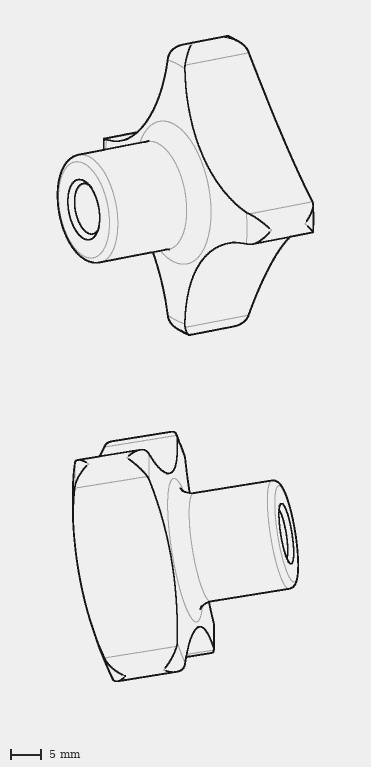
import cadquery as cq
import math

span = 50.0
height = 33.8
tip_reach = span / 2

crown_flat_diameter = 10.5
dome_radius = 67.5
underside_depth = 16.7
underside_rise = 0.8
rim_fillet = 3.0

tip_radius = 2.65
scallop_center = 25.0

hub_diameter = 18.0
hub_root_fillet = 2.9
hub_end_fillet = 1.0
bore_diameter = 8.4
bore_chamfer = 0.8

tip_center = tip_reach - tip_radius
scallop_radius = math.hypot(scallop_center, scallop_center - tip_center) - tip_radius


def dome_sag(radius):
    """Drop of the domed crown below its central flat at a given radius."""
    flat_radius = crown_flat_diameter / 2
    sphere_height = math.sqrt(dome_radius**2 - flat_radius**2)
    return sphere_height - math.sqrt(dome_radius**2 - radius**2)


def make_head():
    """Revolved disc with a domed crown, conical underside and rounded rim."""
    flat_radius = crown_flat_diameter / 2
    middle_radius = (flat_radius + tip_reach) / 2
    root_radius = hub_diameter / 2 + hub_root_fillet
    disc = (
        cq.Workplane("XY")
        .lineTo(flat_radius, 0)
        .threePointArc((middle_radius, -dome_sag(middle_radius)), (tip_reach, -dome_sag(tip_reach)))
        .lineTo(tip_reach, underside_rise - underside_depth)
        .lineTo(root_radius, -underside_depth)
        .lineTo(0, -underside_depth)
        .close()
        .revolve(360, (0, 0, 0), (0, 1, 0))
    )
    return disc.faces("%CYLINDER").edges("%CIRCLE").fillet(rim_fillet)


def make_star():
    """Four-armed prism with rounded tips joined by tangent scallops."""
    reach = scallop_radius + tip_radius
    tangent_x = tip_radius * scallop_center / reach
    tangent_z = tip_center + tip_radius * (scallop_center - tip_center) / reach
    waist = scallop_center - scallop_radius / math.sqrt(2)

    outline = cq.Workplane("XZ").moveTo(-tangent_x, tangent_z)
    for quarter in range(4):
        angle = -quarter * math.pi / 2

        def turn(x, z):
            return (
                x * math.cos(angle) - z * math.sin(angle),
                x * math.sin(angle) + z * math.cos(angle),
            )

        outline = outline.threePointArc(turn(0, tip_reach), turn(tangent_x, tangent_z))
        outline = outline.threePointArc(turn(waist, waist), turn(tangent_z, tangent_x))
    return outline.close().extrude(height)


def make_hub():
    """Hub with a concave root flare and a rounded free end."""
    hub_radius = hub_diameter / 2
    arc_offset = hub_root_fillet * (1 - math.sqrt(0.5))
    return (
        cq.Workplane("XY")
        .moveTo(0, -underside_depth)
        .lineTo(hub_radius + hub_root_fillet, -underside_depth)
        .threePointArc(
            (hub_radius + arc_offset, -underside_depth - arc_offset),
            (hub_radius, -underside_depth - hub_root_fillet),
        )
        .lineTo(hub_radius, -height)
        .lineTo(0, -height)
        .close()
        .revolve(360, (0, 0, 0), (0, 1, 0))
        .faces("<Y")
        .edges()
        .fillet(hub_end_fillet)
    )


knob = make_head().intersect(make_star()).union(make_hub())

bore = cq.Workplane("XZ").circle(bore_diameter / 2).extrude(height)
countersink = (
    cq.Workplane("XZ", origin=(0, -height, 0))
    .circle(bore_diameter / 2 + bore_chamfer)
    .extrude(-bore_chamfer, taper=45)
)
result = knob.cut(bore).cut(countersink)